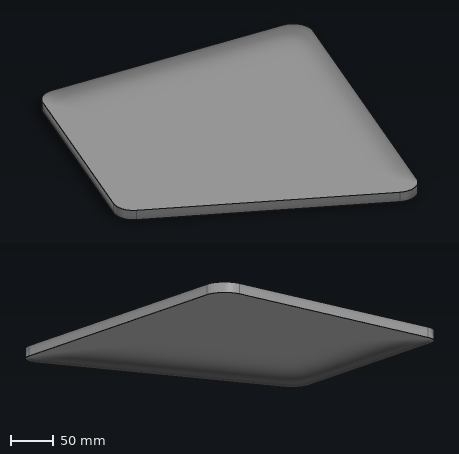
import cadquery as cq

BACK_WIDTH = 440.0
FRONT_WIDTH = 300.0
DEPTH = 360.0
THICKNESS = 13.0
CORNER_RADIUS = 25.0


def tapered_plate():
    """Flat symmetric trapezoid, centred on X and Y, resting on Z = 0."""
    corners = [
        (-FRONT_WIDTH / 2, -DEPTH / 2),
        (FRONT_WIDTH / 2, -DEPTH / 2),
        (BACK_WIDTH / 2, DEPTH / 2),
        (-BACK_WIDTH / 2, DEPTH / 2),
    ]
    return cq.Workplane("XY").polyline(corners).close().extrude(THICKNESS)


def round_corners(plate):
    """Round the four upright edges of the plate."""
    return plate.edges("|Z").fillet(CORNER_RADIUS)


result = round_corners(tapered_plate())